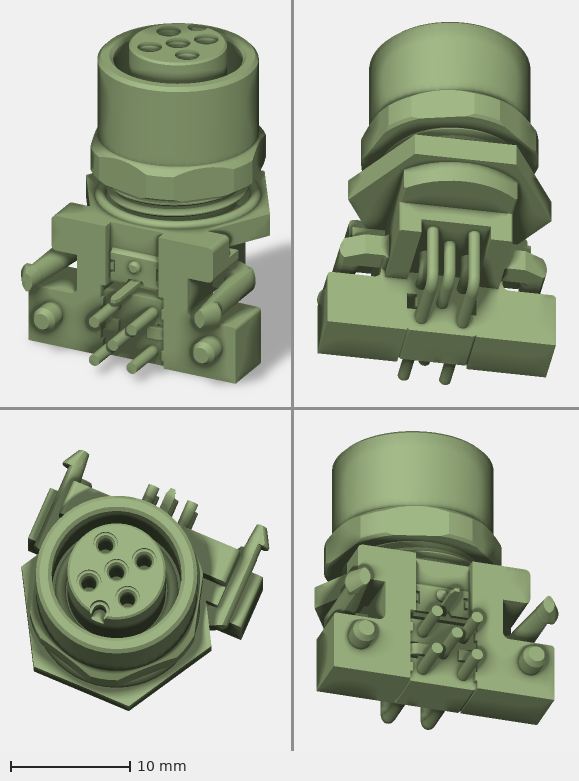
import cadquery as cq
import math


flange_across_flats = 15.03
flange_flat = flange_across_flats / 2
flange_corner_diameter = flange_across_flats / math.cos(math.pi / 6)
flange_bottom = 10.0
flange_top = 12.0
seal_outer_radius = 7.02
seal_section_radius = 0.5

sleeve_radius = 6.79
sleeve_top = 24.88
sleeve_chamfer = 0.3
bore_radius = 5.45
bore_seal_radius = 4.73
bore_seal_section_radius = 0.47
nut_bottom = 14.66
nut_top = 17.68
bore_floor = nut_top
nut_across_flats = 13.94
nut_corner_radius = 7.45
nut_lower_chamfer = 0.23
nut_rotation = 15
thread_radius = 6.0
thread_root_radius = 5.5
thread_pitch = 1.0
thread_start = 11.99
thread_turns = 3
thread_base_half_width = 0.42
thread_crest_half_width = 0.05
thread_overlap = 0.08

carrier_top = 26.0
carrier_radius = 4.13
carrier_chamfer = 0.18
contact_pitch = 3.54
contact_offset = contact_pitch / 2
socket_mouth_radius = 1.05
socket_throat_radius = 0.83
socket_radius = 0.65
socket_mouth_depth = 0.3
socket_throat_depth = 0.65
socket_depth = 5.2
keyway_center = 3.61
keyway_radius = 0.57
keyway_mouth_radius = 0.83
keyway_mouth_depth = 0.65
keyway_depth = 2.6

collar_radius = 7.02
collar_bottom = 8.05
housing_half_width = 4.84
housing_back = 3.12
housing_bottom = 5.2
housing_chamfer = 0.15

foot_front = -8.5
foot_back = -3.8
foot_half_width = 9.75
foot_base_height = 5.15
foot_base_radius = 0.3
neck_half_width = 5.2
neck_radius = 0.6
arm_half_width = 7.62
arm_bottom = 8.81
arm_radius = 0.47
arm_step = -5.49
opening_half_width = 2.96
opening_top = 6.53
recess_half_width = 2.5

guide_front = -8.03
guide_top = 5.95
guide_corner = 0.2
guide_middle = 3.0
guide_notch_depth = 0.83
guide_notch_height = 1.55
tab_depth = 0.2
tab_height = 0.83
tab_levels = (1.12, 4.95)
latch_height = 1.0
latch_inner = 1.35
latch_outer = 2.24
latch_projection = 0.36

plate_half_width = 2.35
plate_front = -7.88
plate_bottom = 6.9
plate_top = 9.72
plate_bevel = 0.35
plate_notch_depth = 0.42
plate_notch_bottom = 7.55
plate_notch_top = 8.75
plate_lug_width = 0.25
plate_lug_bottom = 7.83
plate_lug_top = 8.42
nub_height = 8.53
nub_radius = 0.55
nub_tip_radius = 0.35
nub_front = -8.37
blade_half_width = 0.42
blade_tip_half_width = 0.2
blade_tip_length = 0.65
blade_thickness = 0.3
blade_notch_half_width = 0.62
blade_notch_flare = 0.25
blade_notch_height = 0.42

pin_tip = -12.1
pin_radius = 0.5
pin_bend_radius = 1.01
peg_x = 7.51
peg_radius = 1.01
peg_tip_radius = 0.7
peg_taper_start = -10.0
peg_tip = -10.55
clip_back = -1.95
clip_level = 7.07
clip_half_height = 1.0
clip_outer = 8.85
clip_outer_edge = 8.48
clip_slope_x = 6.85
clip_slope_y = -3.0
leg_flare = 0.5
leg_root_edge = 7.75
leg_root_inner = 6.75
leg_end_edge = 8.42
leg_end_inner = 7.5
barb_start = -10.4
barb_shoulder = -10.6
barb_tip = -12.0
barb_outer = 9.4
barb_outer_edge = 8.97
barb_tip_outer = 8.6
barb_tip_outer_edge = 8.22
barb_tip_edge = 8.09
barb_tip_inner = 7.65
barb_tip_half_height = 0.8


def box(x_min, x_max, y_min, y_max, z_min, z_max):
    size = (x_max - x_min, y_max - y_min, z_max - z_min)
    return cq.Workplane("XY").box(*size, centered=False).translate((x_min, y_min, z_min))


def cylinder(radius, z_min, z_max, x=0, y=0):
    disc = cq.Workplane("XY", origin=(x, y, z_min)).circle(radius)
    return disc.extrude(z_max - z_min)


def torus(ring_radius, section_radius, z):
    return cq.Workplane(cq.Solid.makeTorus(ring_radius, section_radius, cq.Vector(0, 0, z)))


def front_plane(y):
    """Plane facing -Y, with local x along X and local y along Z."""
    return cq.Workplane("XZ", origin=(0, y, 0))


def both_sides(shape):
    return shape.union(shape.mirror("YZ"))


def make_flange():
    hexagon = cq.Workplane("XY", origin=(0, 0, flange_bottom)).polygon(6, flange_corner_diameter)
    seal = torus(seal_outer_radius - seal_section_radius, seal_section_radius, flange_top)
    return hexagon.extrude(flange_top - flange_bottom).union(seal)


def make_thread():
    core = cylinder(thread_root_radius, flange_bottom, nut_top)
    base_radius = thread_root_radius - thread_overlap
    helix = cq.Wire.makeHelix(thread_pitch, thread_turns * thread_pitch, base_radius)
    ridge = (
        cq.Workplane("XZ")
        .polyline([
            (base_radius, -thread_base_half_width),
            (thread_radius, -thread_crest_half_width),
            (thread_radius, thread_crest_half_width),
            (base_radius, thread_base_half_width),
        ])
        .close()
        .sweep(cq.Workplane(helix), isFrenet=True)
        .translate((0, 0, thread_start))
    )
    return core.union(ridge)


def make_nut():
    hexagon = (
        cq.Workplane("XY", origin=(0, 0, nut_bottom))
        .transformed(rotate=(0, 0, nut_rotation + 30))
        .polygon(6, nut_across_flats / math.cos(math.pi / 6))
        .extrude(nut_top - nut_bottom)
    )
    upper_chamfer = nut_corner_radius - sleeve_radius
    turned = (
        cylinder(nut_corner_radius, nut_bottom, nut_top)
        .faces(">Z").chamfer(upper_chamfer)
        .faces("<Z").chamfer(nut_lower_chamfer)
    )
    return hexagon.intersect(turned)


def make_sleeve():
    tube = (
        cylinder(sleeve_radius, nut_bottom, sleeve_top)
        .cut(cylinder(bore_radius, bore_floor, sleeve_top))
        .faces(">Z").edges().chamfer(sleeve_chamfer)
    )
    seal_level = bore_floor + bore_seal_section_radius / 2
    return tube.union(torus(bore_seal_radius, bore_seal_section_radius, seal_level))


def contact_points():
    corners = [(x, y) for x in (-contact_offset, contact_offset) for y in (-contact_offset, contact_offset)]
    return [(0, 0)] + corners


def make_carrier():
    carrier = cylinder(carrier_radius, nut_bottom, carrier_top).faces(">Z").chamfer(carrier_chamfer)
    socket_profile = [
        (0, 0),
        (socket_mouth_radius, 0),
        (socket_mouth_radius, -socket_mouth_depth),
        (socket_throat_radius, -socket_mouth_depth),
        (socket_radius, -socket_throat_depth),
        (socket_radius, -socket_depth),
        (0, -socket_depth),
    ]
    socket = cq.Workplane("XZ").polyline(socket_profile).close().revolve(360, (0, 0), (0, 1))
    for x, y in contact_points():
        carrier = carrier.cut(socket.translate((x, y, carrier_top)))
    keyway = cylinder(keyway_radius, carrier_top - keyway_depth, carrier_top, y=keyway_center)
    keyway = keyway.union(box(-keyway_radius, keyway_radius, keyway_center, carrier_radius,
                              carrier_top - keyway_depth, carrier_top))
    mouth = cylinder(keyway_mouth_radius, carrier_top - keyway_mouth_depth, carrier_top, y=keyway_center)
    return carrier.cut(keyway).cut(mouth)


def make_housing():
    collar = cylinder(collar_radius, collar_bottom, flange_bottom)
    sides = box(-housing_half_width, housing_half_width, -collar_radius, collar_radius,
                housing_bottom, flange_bottom)
    block = box(-housing_half_width, housing_half_width, foot_back, housing_back,
                housing_bottom, flange_bottom)
    collar = collar.intersect(sides).faces("<Z").edges("|Y").chamfer(housing_chamfer)
    block = block.faces(">Y").edges("|Z").chamfer(housing_chamfer)
    return collar.union(block)


def round_corners(shape, x, z_low, z_high, radius):
    """Fillet the edges along Y that lie at the given X, from one height to another."""
    margin = radius / 2
    low = (x - margin, foot_front - margin, z_low - margin)
    high = (x + margin, foot_back + margin, z_high + margin)
    return shape.edges("|Y").edges(cq.selectors.BoxSelector(low, high)).fillet(radius)


def make_foot():
    half = (
        front_plane(foot_back)
        .polyline([
            (0, 0),
            (foot_half_width, 0),
            (foot_half_width, foot_base_height),
            (neck_half_width, foot_base_height),
            (neck_half_width, arm_bottom),
            (arm_half_width, arm_bottom),
            (arm_half_width, flange_top),
            (0, flange_top),
        ])
        .close()
        .extrude(foot_back - foot_front)
    )
    half = round_corners(half, arm_half_width, arm_bottom, flange_top, arm_radius)
    half = round_corners(half, neck_half_width, foot_base_height, foot_base_height, neck_radius)
    half = round_corners(half, foot_half_width, foot_base_height, foot_base_height, foot_base_radius)
    step = box(-arm_half_width, arm_half_width, arm_step, foot_back, flange_bottom, flange_top)
    recess = box(-recess_half_width, recess_half_width, foot_front, -flange_flat, opening_top, flange_top)
    return both_sides(half).cut(step).cut(recess)


def make_guide():
    """Pin guide with side notches, and the latches standing in the notches."""
    notch = box(opening_half_width - guide_notch_depth, opening_half_width, guide_front, foot_back,
                guide_middle - guide_notch_height / 2, guide_middle + guide_notch_height / 2)
    guide = (
        box(-opening_half_width, opening_half_width, guide_front, foot_back, 0, guide_top)
        .edges("|Y").chamfer(guide_corner)
        .cut(both_sides(notch))
    )
    latch_bottom = guide_middle - latch_height / 2
    latch_top = guide_middle + latch_height / 2
    latch = box(latch_inner, latch_outer, guide_front - latch_projection, foot_back, latch_bottom, latch_top)
    bend_radius = opening_half_width - latch_outer
    bend = cylinder(bend_radius, latch_bottom, latch_top, latch_outer,
                    guide_front - latch_projection + bend_radius)
    guide = guide.union(both_sides(latch)).union(both_sides(bend))
    for level in tab_levels:
        tab = box(opening_half_width - tab_depth, opening_half_width, foot_front, guide_front,
                  level - tab_height / 2, level + tab_height / 2)
        guide = guide.union(both_sides(tab))
    return guide


def make_cover_plate():
    plate = box(-plate_half_width, plate_half_width, plate_front, -flange_flat, plate_bottom, plate_top)
    plate = plate.faces("<Y").edges(">Z").chamfer(plate_bevel)
    side_notch = box(plate_half_width - plate_notch_depth, plate_half_width, plate_front, -flange_flat,
                     plate_notch_bottom, plate_notch_top)
    lug = box(plate_half_width - plate_lug_width, plate_half_width, plate_front, -flange_flat,
              plate_lug_bottom, plate_lug_top)
    blade_notch = (
        front_plane(-flange_flat)
        .polyline([
            (-blade_notch_half_width - blade_notch_flare, plate_bottom),
            (blade_notch_half_width + blade_notch_flare, plate_bottom),
            (blade_notch_half_width, plate_bottom + blade_notch_height),
            (-blade_notch_half_width, plate_bottom + blade_notch_height),
        ])
        .close()
        .extrude(-flange_flat - plate_front)
    )
    plate = plate.cut(both_sides(side_notch)).union(both_sides(lug)).cut(blade_notch)
    nub = (
        front_plane(plate_front).center(0, nub_height).circle(nub_radius)
        .extrude(plate_front - nub_front)
        .faces("<Y").chamfer(nub_radius - nub_tip_radius)
    )
    blade = (
        cq.Workplane("XY", origin=(0, 0, plate_bottom))
        .polyline([
            (-blade_half_width, -flange_flat),
            (-blade_half_width, pin_tip + blade_tip_length),
            (-blade_tip_half_width, pin_tip),
            (blade_tip_half_width, pin_tip),
            (blade_half_width, pin_tip + blade_tip_length),
            (blade_half_width, -flange_flat),
        ])
        .close()
        .extrude(blade_thickness)
    )
    return plate.union(nub).union(blade)


def make_pin(x, y):
    """Bent pin: down from the contact, then forward; rear rows end lower."""
    level = guide_middle - y
    path = (
        cq.Workplane("YZ", origin=(x, 0, 0))
        .moveTo(y, flange_bottom)
        .lineTo(y, level + pin_bend_radius)
        .radiusArc((y - pin_bend_radius, level), pin_bend_radius)
        .lineTo(pin_tip, level)
    )
    return cq.Workplane("XY", origin=(x, y, flange_bottom)).circle(pin_radius).sweep(path)


def make_peg():
    length = foot_front - peg_taper_start
    shank = front_plane(foot_front).center(peg_x, guide_middle).circle(peg_radius).extrude(length)
    taper = (
        front_plane(peg_taper_start).center(peg_x, guide_middle).circle(peg_radius)
        .workplane(offset=peg_taper_start - peg_tip).circle(peg_tip_radius).loft()
    )
    return shank.union(taper)


def clip_section(plane, outer, outer_edge, inner_edge, inner, half_height):
    """Flat-topped section closed by an outer and an inner arc; all four places are X values."""
    return (
        plane.moveTo(outer_edge, clip_level + half_height)
        .threePointArc((outer, clip_level), (outer_edge, clip_level - half_height))
        .lineTo(inner_edge, clip_level - half_height)
        .threePointArc((inner, clip_level), (inner_edge, clip_level + half_height))
        .close()
    )


def clip_stem(y_start, section_start, y_end, section_end):
    start = clip_section(front_plane(y_start), *section_start)
    both = clip_section(start.workplane(offset=y_start - y_end, origin=(0, y_start, 0)), *section_end)
    return both.loft(ruled=True)


def make_clip():
    """Springy arm beside the housing with a leg forward that ends in a barb."""
    def leg_section(inner_edge, inner):
        return clip_outer, clip_outer_edge, inner_edge, inner, clip_half_height

    rounded_bar = clip_section(front_plane(clip_back), *leg_section(neck_half_width, opening_half_width))
    outline = (
        cq.Workplane("XY")
        .polyline([
            (opening_half_width, clip_back),
            (clip_slope_x, clip_back),
            (clip_outer, clip_slope_y),
            (clip_outer, foot_back),
            (opening_half_width, foot_back),
        ])
        .close()
        .extrude(flange_bottom)
    )
    clip = rounded_bar.extrude(clip_back - foot_back).intersect(outline)

    flare_section = leg_section(leg_root_edge - leg_flare, leg_root_inner - leg_flare)
    root_section = leg_section(leg_root_edge, leg_root_inner)
    end_section = leg_section(leg_end_edge, leg_end_inner)
    shoulder_section = (barb_outer, barb_outer_edge, leg_end_edge, leg_end_inner, clip_half_height)
    tip_section = (barb_tip_outer, barb_tip_outer_edge, barb_tip_edge, barb_tip_inner, barb_tip_half_height)
    leg_root = foot_back - leg_flare
    clip = clip.union(clip_stem(foot_back, flare_section, leg_root, root_section))
    clip = clip.union(clip_stem(leg_root, root_section, barb_start, end_section))
    clip = clip.union(clip_stem(barb_start, shoulder_section, barb_shoulder, shoulder_section))
    return clip.union(clip_stem(barb_shoulder, shoulder_section, barb_tip, tip_section))


pin_opening = box(-opening_half_width, opening_half_width, foot_front, housing_back, 0, opening_top)

result = (
    make_housing()
    .union(make_foot())
    .union(both_sides(make_clip()))
    .cut(pin_opening)
    .union(make_flange())
    .union(make_thread())
    .union(make_nut())
    .union(make_sleeve())
    .union(make_carrier())
    .union(make_guide())
    .union(make_cover_plate())
    .union(both_sides(make_peg()))
)
for pin_x, pin_y in contact_points():
    if (pin_x, pin_y) != (0, 0):
        result = result.union(make_pin(pin_x, pin_y))
result = result.union(make_pin(0, 0))